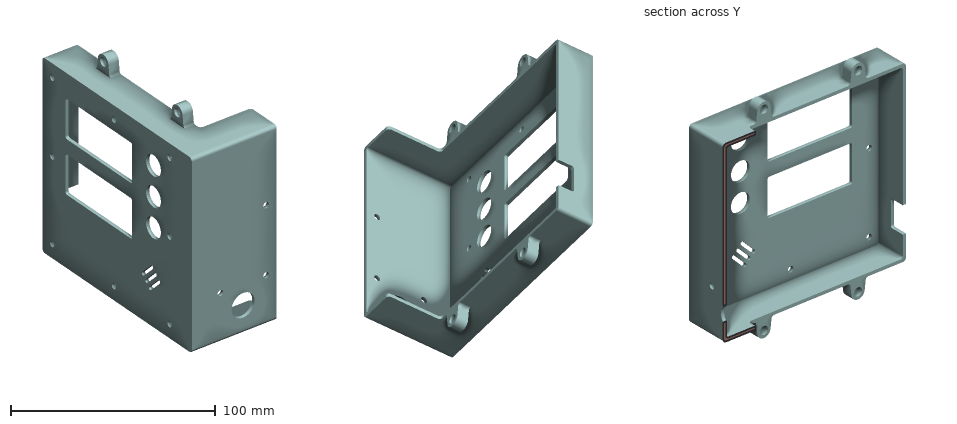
import cadquery as cq
import math

width = 121.0
body_height = 111.3
low_depth = 20.5
full_depth = 52.0
wall = 2.0
plate = 2.0
outer_radius = 2.0
inner_radius = 1.5

return_width = 20.5
step_radius = 2.0

screw_diameter = 3.5
screw_inset_x = 8.0
screw_inset_z = 8.1
screw_mid = 50.0
screw_far = 95.0

window_left = 18.7
window_width = 54.0
window_height = 23.1
window_bottoms = (41.9, 73.6)
window_radius = 1.2

button_x = 90.0
button_top_z = 92.3
button_pitch = 17.8
button_count = 3
button_diameter = 12.0

slot_x = 88.0
slot_z = 27.3
slot_pitch = 4.0
slot_width = 2.0
slot_length = 12.2
slot_angle = 45
slot_count = 3

ear_xs = (30.5, 90.5)
total_height = 132.7
ear_reach = (total_height - body_height) / 2
ear_radius = 4.2
ear_thickness = 6.4
ear_hole_diameter = 5.0
ear_taper = math.radians(7)
ear_foot_radius = 1.6

notch_bottom = 15.4
notch_height = 16.5
notch_depth = 9.2
notch_radius = 1.3

side_hole_diameter = 3.5
side_holes = ((45.5, 68.0), (45.5, 28.1), (17.5, 28.1))
socket_diameter = 14.0
socket_y = 31.5
socket_z = 16.0


def front_plane(y=0.0):
    """Workplane parallel to the front face; local axes are X and Z, and extrusions go toward -Y."""
    return cq.Workplane("XZ", origin=(0, y, 0))


def make_shell():
    """Box with rounded side edges, hollowed from the back, stepped down on the left."""
    shell = (
        cq.Workplane("XY")
        .box(width, full_depth, body_height, centered=False)
        .edges("|Y")
        .fillet(outer_radius)
    )
    cavity = (
        cq.Workplane("XY", origin=(wall, plate, wall))
        .box(width - 2 * wall, full_depth, body_height - 2 * wall, centered=False)
        .edges("|Y")
        .fillet(inner_radius)
    )
    step_x = width - return_width
    overrun = 1.3
    above_step = (
        cq.Workplane("XY")
        .moveTo(-overrun, low_depth)
        .lineTo(step_x - step_radius, low_depth)
        .radiusArc((step_x, low_depth + step_radius), -step_radius)
        .lineTo(step_x, full_depth - step_radius)
        .radiusArc((step_x + step_radius, full_depth), step_radius)
        .lineTo(step_x + step_radius, full_depth + overrun)
        .lineTo(-overrun, full_depth + overrun)
        .close()
        .extrude(body_height)
    )
    return shell.cut(cavity).cut(above_step)


def make_ear(x):
    """Tapered round-ended lug standing on the top wall, flush with the low back edge."""
    center_z = body_height + ear_reach - ear_radius
    tangent_x = ear_radius * math.cos(ear_taper)
    tangent_z = center_z + ear_radius * math.sin(ear_taper)
    fillet_z = body_height + ear_foot_radius
    drop = (center_z - fillet_z) * math.sin(ear_taper)
    base_x = (ear_radius + ear_foot_radius + drop) / math.cos(ear_taper)
    foot_x = base_x - ear_foot_radius * math.cos(ear_taper)
    foot_z = fillet_z - ear_foot_radius * math.sin(ear_taper)
    return (
        front_plane(low_depth)
        .moveTo(x - base_x, body_height - wall / 2)
        .lineTo(x - base_x, body_height)
        .radiusArc((x - foot_x, foot_z), -ear_foot_radius)
        .lineTo(x - tangent_x, tangent_z)
        .threePointArc((x, body_height + ear_reach), (x + tangent_x, tangent_z))
        .lineTo(x + foot_x, foot_z)
        .radiusArc((x + base_x, body_height), -ear_foot_radius)
        .lineTo(x + base_x, body_height - wall / 2)
        .close()
        .extrude(ear_thickness)
        .cut(
            front_plane(low_depth)
            .center(x, center_z)
            .circle(ear_hole_diameter / 2)
            .extrude(ear_thickness)
        )
    )


def plate_cutter(sketch):
    """Extrude a sketch on the front face through the front plate."""
    return sketch.extrude(-plate)


def screw_holes():
    """Holes on a three by three grid with the middle one left out."""
    steps = (0, screw_mid, screw_far)
    points = [(x, z) for x in steps for z in steps if (x, z) != (screw_mid, screw_mid)]
    grid = front_plane().center(screw_inset_x, screw_inset_z).pushPoints(points)
    return plate_cutter(grid.circle(screw_diameter / 2))


def window(bottom):
    sketch = front_plane().center(window_left + window_width / 2, bottom + window_height / 2)
    return plate_cutter(sketch.rect(window_width, window_height)).edges("|Y").fillet(window_radius)


def button_holes():
    points = [(button_x, button_top_z - i * button_pitch) for i in range(button_count)]
    return plate_cutter(front_plane().pushPoints(points).circle(button_diameter / 2))


def sound_slots():
    shift = slot_pitch * math.sin(math.radians(slot_angle))
    offsets = [(i - (slot_count - 1) / 2) * shift for i in range(slot_count)]
    points = [(slot_x + offset, slot_z - offset) for offset in offsets]
    return plate_cutter(front_plane().pushPoints(points).slot2D(slot_length, slot_width, slot_angle))


def cable_notch():
    """Open-backed notch through the left wall, rounded at its two front corners."""
    return (
        cq.Workplane("XY", origin=(0, low_depth - notch_depth, notch_bottom))
        .box(wall, notch_depth, notch_height, centered=False)
        .edges("|X and <Y")
        .fillet(notch_radius)
    )


def right_wall_holes():
    wall_plane = cq.Workplane("YZ", origin=(width - wall, 0, 0))
    small = wall_plane.pushPoints(side_holes).circle(side_hole_diameter / 2).extrude(wall)
    socket = wall_plane.center(socket_y, socket_z).circle(socket_diameter / 2).extrude(wall)
    return small.union(socket)


result = make_shell()

for ear_x in ear_xs:
    top_ear = make_ear(ear_x)
    bottom_ear = top_ear.mirror("XY", (0, 0, body_height / 2))
    result = result.union(top_ear).union(bottom_ear)

for window_bottom in window_bottoms:
    result = result.cut(window(window_bottom))

result = (
    result.cut(screw_holes())
    .cut(button_holes())
    .cut(sound_slots())
    .cut(cable_notch())
    .cut(right_wall_holes())
)